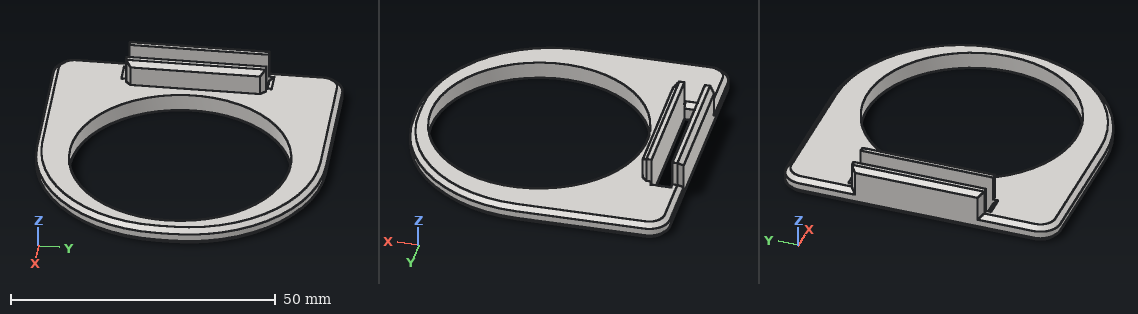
import cadquery as cq

plate_size = 55.0
plate_thickness = 3.5
small_corner_radius = 4.0
large_corner_radius = 26.0
edge_chamfer = 1.0

hole_diameter = 42.0
hole_edge_distance = 10.0

slot_width = 4.0
slot_length = 26.6
wall_thickness = 2.0
wall_height = 5.0

straight_side_x = -plate_size / 2
hole_x = straight_side_x + hole_edge_distance + hole_diameter / 2
slot_x = straight_side_x + wall_thickness + slot_width / 2
wall_top_z = plate_thickness + wall_height


def make_plate():
    """Square plate with two small and two large corners, chamfered all round."""
    plate = cq.Workplane("XY").rect(plate_size, plate_size).extrude(plate_thickness)
    plate = plate.edges("|Z and <X").fillet(small_corner_radius)
    plate = plate.edges("|Z and >X").fillet(large_corner_radius)
    return plate.faces("<Z or >Z").edges().chamfer(edge_chamfer)


def make_wall(outward):
    """Wall beside the slot; outward is -1 or +1, the X direction away from the slot.

    The wall runs down to the chamfer on the underside of the plate. The three free
    edges of its outer face are chamfered.
    """
    wall_x = slot_x + outward * (slot_width + wall_thickness) / 2
    wall = (
        cq.Workplane("XY", origin=(wall_x, 0, edge_chamfer))
        .rect(wall_thickness, slot_length)
        .extrude(wall_top_z - edge_chamfer)
    )
    outer_face = "<X" if outward < 0 else ">X"
    return wall.faces(outer_face).edges("|Z or >Z").chamfer(edge_chamfer)


def make_slot():
    """Cutter for the slot, flared at 45 degrees at both ends of its upper opening."""
    half_length = slot_length / 2
    flare_start_z = plate_thickness - edge_chamfer
    flared_half_length = half_length + edge_chamfer
    return (
        cq.Workplane("YZ", origin=(slot_x - slot_width / 2, 0, 0))
        .moveTo(-half_length, 0)
        .lineTo(half_length, 0)
        .lineTo(half_length, flare_start_z)
        .lineTo(flared_half_length, plate_thickness)
        .lineTo(-flared_half_length, plate_thickness)
        .lineTo(-half_length, flare_start_z)
        .close()
        .extrude(slot_width)
    )


def make_hole():
    """Cutter for the round through hole."""
    return cq.Workplane("XY").center(hole_x, 0).circle(hole_diameter / 2).extrude(plate_thickness)


result = make_plate()
for outward in (-1, 1):
    result = result.union(make_wall(outward))
result = result.cut(make_slot()).cut(make_hole())